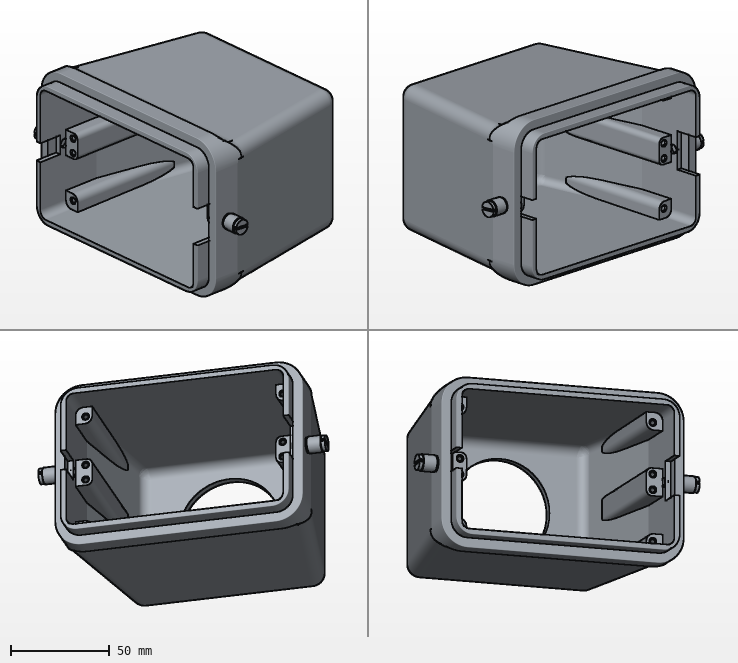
import cadquery as cq
import math


skirt_width = 120.2
skirt_height = 78.4
skirt_corner = 8.7
skirt_length = 8.0
edge_round = 0.3

collar_width = 130.5
collar_height = 88.5
collar_corner = 14.2
ridge_round = 1.5
flare_radius = 10.0
flare_end = 26.5
flare_rise = (collar_height - skirt_height) / 2
flare_start = flare_end - math.sqrt(flare_radius**2 - (flare_radius - flare_rise) ** 2)

total_depth = 106.0
taper_start = 23.0
taper_angle = 10.65
taper_slope = math.tan(math.radians(taper_angle))
body_round = 7.0

mouth_width = 114.3
cavity_height = 72.7
cavity_draft = 0.5
cavity_corner = 4.0
cavity_back_round = 5.5
back_wall = 4.5
side_wall = 5.1
cable_hole_diameter = 52.6

post_front = 17.6
post_back = 84.5
post_inner_face = 48.4
post_outer_face = 58.8
corner_post_bottom = 27.0
corner_post_top = 37.7
corner_post_round = 3.9
middle_post_height = 14.5
middle_post_round = 2.9
screw_x = 51.9
corner_screw_z = 30.9
middle_screw_z = 4.0
screw_hole_diameter = 2.5
screw_hole_depth = 12.0
screw_hole_chamfer = 0.6

left_notch_height = 10.7
right_notch_height = 20.7
notch_depth = 13.5

overall_width = 150.8
pin_y = 16.6
pin_diameter = 8.7
pin_tip_diameter = 8.1
pin_tip_length = 1.8
pin_chamfer = 0.5
pin_neck_length = 0.5
pin_slot_width = 1.2
pin_slot_depth = 1.2
pin_slot_tilt = 4.0
pin_recess_diameter = 4.8
pin_recess_bottom = 58.8


def facing_mouth(y):
    """Workplane at depth y, with local X along +X, local Y along +Z and normal -Y."""
    return cq.Workplane("XZ", origin=(0, y, 0))


def rounded_block(width, height, corner, y_front, y_back):
    """Rounded rectangular block from y_front to y_back, centred on the Y axis."""
    block = facing_mouth(y_back).rect(width, height).extrude(y_back - y_front)
    return block.edges("|Y").fillet(corner)


def tapered_block(half_width, height, y_front, y_taper, y_back):
    """Block that is straight up to y_taper, then leans inward to y_back."""
    back_half_width = half_width - taper_slope * (y_back - y_taper)
    outline = [
        (-half_width, y_front),
        (half_width, y_front),
        (half_width, y_taper),
        (back_half_width, y_back),
        (-back_half_width, y_back),
        (-half_width, y_taper),
    ]
    return cq.Workplane("XY").polyline(outline).close().extrude(height / 2, both=True)


def body_half_width(y):
    """Half width across X of the leaning body at depth y."""
    return collar_width / 2 - taper_slope * (y - taper_start)


def make_body():
    """Solid hood body behind the collar, leaning inward on both sides."""
    front_half_width = body_half_width(taper_start)
    back_half_width = body_half_width(total_depth)
    outline = [
        (-front_half_width, taper_start),
        (front_half_width, taper_start),
        (back_half_width, total_depth),
        (-back_half_width, total_depth),
    ]
    block = cq.Workplane("XY").polyline(outline).close().extrude(skirt_height / 2, both=True)
    return block.edges("not <Y").fillet(body_round)


def flare_profile(plane):
    """Flare section from the body corner axis outward: local X is depth, ending at 0; local Y is outward."""
    return (
        plane.moveTo(-flare_end, 0)
        .lineTo(-flare_end, body_round + flare_rise)
        .lineTo(flare_start - flare_end, body_round + flare_rise)
        .radiusArc((0, body_round), -flare_radius)
        .lineTo(0, 0)
        .close()
    )


def make_flare_quarter():
    """Flare on the +X, +Z quarter: straight along the long side, then swept around the body corner."""
    lean = math.radians(taper_angle)
    corner_z = skirt_height / 2 - body_round
    corner_x = body_half_width(flare_end) - body_round / math.cos(lean)
    straight_plane = cq.Workplane("YZ", origin=(0, flare_end, corner_z))
    straight = flare_profile(straight_plane).extrude(collar_width / 2)
    front_x = corner_x + taper_slope * flare_end
    inside_corner_axis = (
        cq.Workplane("XY")
        .polyline([(0, 0), (front_x, 0), (corner_x, flare_end), (0, flare_end)])
        .close()
        .extrude(collar_height)
    )
    corner_axis = cq.Plane(
        origin=(corner_x, flare_end, corner_z),
        xDir=(-math.sin(lean), math.cos(lean), 0),
        normal=(math.cos(lean), math.sin(lean), 0),
    )
    corner = flare_profile(cq.Workplane(corner_axis)).revolve(90, (0, 0, 0), (1, 0, 0))
    return straight.intersect(inside_corner_axis).union(corner)


def make_collar():
    """Rounded collar whose long sides flare down to the body along concave arcs."""
    quarter = make_flare_quarter()
    upper = quarter.union(quarter.mirror("YZ"))
    flat_side_height = skirt_height - 2 * body_round
    middle = tapered_block(collar_width / 2, flat_side_height, 0, taper_start, flare_end)
    envelope = middle.union(upper).union(upper.mirror("XY"))
    collar = rounded_block(collar_width, collar_height, collar_corner, skirt_length, total_depth)
    collar = collar.intersect(envelope)
    ridge_limit = cq.selectors.BoxSelector(
        (-collar_width, (skirt_length + flare_start) / 2, -collar_height),
        (collar_width, flare_start + ridge_round, collar_height),
    )
    ridge = collar.edges(ridge_limit).edges("(not |Y) and (not |Z)")
    collar = ridge.fillet(ridge_round)
    return collar.faces("<Y").edges().fillet(edge_round)


def make_skirt():
    skirt = rounded_block(skirt_width, skirt_height, skirt_corner, 0, taper_start)
    return skirt.faces("<Y").edges().fillet(edge_round)


def make_cavity():
    """Inner space: straight behind the mouth, then parallel to the leaning side walls."""
    half_width = mouth_width / 2
    inner_taper_start = taper_start + (collar_width / 2 - side_wall - half_width) / taper_slope
    cavity_depth = total_depth - back_wall
    block = tapered_block(half_width, cavity_height, 0, inner_taper_start, cavity_depth)
    front_z = cavity_height / 2
    back_z = front_z - cavity_depth * math.tan(math.radians(cavity_draft))
    drafted = (
        cq.Workplane("YZ")
        .polyline([(0, -front_z), (cavity_depth, -back_z), (cavity_depth, back_z), (0, front_z)])
        .close()
        .extrude(half_width, both=True)
    )
    block = block.intersect(drafted)
    block = block.faces(">Y").edges().fillet(cavity_back_round)
    return block.edges("%LINE and (not |X) and (not |Z)").fillet(cavity_corner)


def make_post(z_low, z_high, corner, rounded_edges):
    """Post on the +X side wall, with its free lengthwise edges rounded."""
    post = (
        facing_mouth(post_back)
        .center((post_inner_face + post_outer_face) / 2, (z_low + z_high) / 2)
        .rect(post_outer_face - post_inner_face, z_high - z_low)
        .extrude(post_back - post_front)
    )
    return post.edges(rounded_edges).fillet(corner)


def make_posts():
    corner_post = make_post(corner_post_bottom, corner_post_top, corner_post_round, "|Y and <X and <Z")
    middle_post = make_post(-middle_post_height / 2, middle_post_height / 2, middle_post_round, "|Y and <X")
    right_side = middle_post.union(corner_post).union(corner_post.mirror("XY"))
    return right_side.union(right_side.mirror("YZ"))


def make_screw_holes():
    z_places = [corner_screw_z, middle_screw_z, -middle_screw_z, -corner_screw_z]
    places = [(side * screw_x, z) for side in (-1, 1) for z in z_places]
    radius = screw_hole_diameter / 2
    bores = facing_mouth(post_front).pushPoints(places).circle(radius).extrude(-screw_hole_depth)
    mouths = (
        facing_mouth(post_front)
        .pushPoints(places)
        .circle(radius + screw_hole_chamfer)
        .extrude(-screw_hole_chamfer, taper=45)
    )
    return bores.union(mouths)


def make_notch(side, height):
    """Notch through the skirt wall on one side, reaching back under the collar."""
    wall = (skirt_width - mouth_width) / 2
    center_x = side * (mouth_width + wall) / 2
    return facing_mouth(notch_depth).center(center_x, 0).rect(wall, height).extrude(notch_depth)


def pin_cylinder(diameter, x_start, x_end):
    """Cylinder on the pin axis, along X."""
    return cq.Workplane("YZ", origin=(x_start, pin_y, 0)).circle(diameter / 2).extrude(x_end - x_start)


def make_pin():
    """Slotted locking pin on the +X side: narrower neck, shank and narrower tip."""
    tip_end = overall_width / 2
    shank_end = tip_end - pin_tip_length
    shank_start = collar_width / 2 + pin_neck_length
    pin = pin_cylinder(pin_tip_diameter, pin_recess_bottom, tip_end)
    shank = pin_cylinder(pin_diameter, shank_start, shank_end).faces("|X").edges().chamfer(pin_chamfer)
    pin = pin.union(shank)
    slot = (
        cq.Workplane("YZ", origin=(tip_end, pin_y, 0))
        .transformed(rotate=(0, 0, -pin_slot_tilt))
        .rect(2 * pin_diameter, pin_slot_width)
        .extrude(-pin_slot_depth)
    )
    return pin.cut(slot)


collar_limit = rounded_block(collar_width, collar_height, collar_corner, skirt_length, total_depth)
shell = make_body().intersect(collar_limit).union(make_collar()).union(make_skirt())

posts = make_posts().intersect(shell)
result = shell.cut(make_cavity()).union(posts).cut(make_screw_holes())

cable_hole = facing_mouth(total_depth).circle(cable_hole_diameter / 2).extrude(2 * back_wall)
result = result.cut(cable_hole)

pin = make_pin()
result = result.union(pin).union(pin.mirror("YZ"))
pin_recess = pin_cylinder(pin_recess_diameter, mouth_width / 2, pin_recess_bottom)
result = result.cut(pin_recess).cut(pin_recess.mirror("YZ"))

result = result.cut(make_notch(-1, left_notch_height)).cut(make_notch(1, right_notch_height))